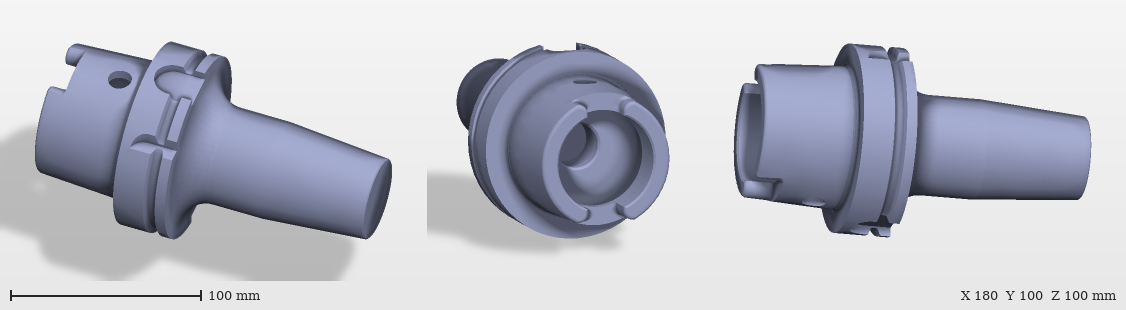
import cadquery as cq
import math


SHANK_LENGTH = 50.0
FLANGE_WIDTH = 29.0
NECK_START = 45.0
NOSE_END = 130.0

SHANK_MOUTH_RADIUS = 35.4
SHANK_ROOT_RADIUS = 38.05
SHANK_EDGE_ROUND = 1.8
RELIEF_START = -2.6
RELIEF_END = -1.0
RELIEF_DEPTH = 0.3
RELIEF_SLOPE = 0.5
ROOT_ROUND = 1.2
FLANGE_RECESS_DEPTH = 0.4

FLANGE_RADIUS = 50.0
GROOVE_CENTER = 20.1
GROOVE_HALF_WIDTH = 3.35
GROOVE_BOTTOM_RADIUS = 46.0
GROOVE_HALF_ANGLE = math.radians(23)
GROOVE_DEPTH = FLANGE_RADIUS - GROOVE_BOTTOM_RADIUS
GROOVE_FLOOR_HALF = GROOVE_HALF_WIDTH - GROOVE_DEPTH * math.tan(GROOVE_HALF_ANGLE)
GROOVE_ROUND = 1.2

NECK_RADIUS = 26.5
NECK_BLEND = NECK_START - FLANGE_WIDTH
NOSE_RADIUS = 22.0
NOSE_ANGLE = math.radians(4.5)
NOSE_CHAMFER = 0.6

MOUTH_BORE_RADIUS = 26.5
MOUTH_CHAMFER = 1.0
MOUTH_BORE_END = -30.4
CHAMBER_RADIUS = 31.5
CLAMP_CONE_ANGLE = math.radians(30)
BORE_FLOOR = -2.7
CHAMBER_FLOOR_ROUND = 7.0
CENTER_HOLE_RADIUS = 11.7
CENTER_HOLE_CHAMFER = 1.2
CENTER_HOLE_DEPTH = 20.0

SLOT_HALF_WIDTH = 10.0
SLOT_SHOULDER_HEIGHT = 31.7
SLOT_SHOULDER_ROUND = 5.0
SLOT_FLOOR_ROUND = 2.0
SLOT_MOUTH_ROUND = 2.0
UPPER_SLOT_DEPTH = 10.0
LOWER_SLOT_DEPTH = 15.0

CROSS_HOLE_X = -15.0
CROSS_HOLE_RADIUS = 6.3

KEYWAY_WIDTH = 20.0
KEYWAY_START = 4.9
KEYWAY_FLOOR = 44.0
NOTCH_WALL = 31.7
NOTCH_ROUND = 8.0
NOTCH_STRAIGHT_START = 13.1

CLEARANCE = 10.0
TOLERANCE = 0.01

ARC_MID = 1 - math.sqrt(0.5)


def outer_profile():
    """Half outline of the solid of revolution, from the shank mouth to the nose."""
    mouth_x = -SHANK_LENGTH
    taper = (SHANK_ROOT_RADIUS - SHANK_MOUTH_RADIUS) / SHANK_LENGTH
    taper_end_radius = SHANK_ROOT_RADIUS + taper * RELIEF_START
    relief_radius = taper_end_radius - RELIEF_DEPTH
    root_top_radius = SHANK_ROOT_RADIUS + ROOT_ROUND
    nose_length = (NECK_RADIUS - NOSE_RADIUS) / math.tan(NOSE_ANGLE)
    blend_mid = NECK_BLEND * ARC_MID
    root_mid = ROOT_ROUND * ARC_MID
    return (
        cq.Workplane("XY")
        .moveTo(mouth_x, 0)
        .lineTo(mouth_x, SHANK_MOUTH_RADIUS)
        .lineTo(RELIEF_START, taper_end_radius)
        .lineTo(RELIEF_START + RELIEF_SLOPE, relief_radius)
        .lineTo(RELIEF_END - RELIEF_SLOPE, relief_radius)
        .lineTo(RELIEF_END, SHANK_ROOT_RADIUS)
        .lineTo(FLANGE_RECESS_DEPTH - ROOT_ROUND, SHANK_ROOT_RADIUS)
        .threePointArc(
            (FLANGE_RECESS_DEPTH - root_mid, SHANK_ROOT_RADIUS + root_mid),
            (FLANGE_RECESS_DEPTH, root_top_radius),
        )
        .lineTo(0, root_top_radius)
        .lineTo(0, FLANGE_RADIUS)
        .lineTo(GROOVE_CENTER - GROOVE_HALF_WIDTH, FLANGE_RADIUS)
        .lineTo(GROOVE_CENTER - GROOVE_FLOOR_HALF, GROOVE_BOTTOM_RADIUS)
        .lineTo(GROOVE_CENTER + GROOVE_FLOOR_HALF, GROOVE_BOTTOM_RADIUS)
        .lineTo(GROOVE_CENTER + GROOVE_HALF_WIDTH, FLANGE_RADIUS)
        .lineTo(FLANGE_WIDTH, FLANGE_RADIUS)
        .lineTo(FLANGE_WIDTH, NECK_RADIUS + NECK_BLEND)
        .threePointArc((FLANGE_WIDTH + blend_mid, NECK_RADIUS + blend_mid), (NECK_START, NECK_RADIUS))
        .lineTo(NOSE_END - nose_length, NECK_RADIUS)
        .lineTo(NOSE_END, NOSE_RADIUS)
        .lineTo(NOSE_END, 0)
        .close()
    )


def circle_edges(body, x, radius):
    """Circular edges centred on the axis at position x with the given radius."""
    boxes = []
    for reach in (radius + TOLERANCE, radius - TOLERANCE):
        low = (x - TOLERANCE, -reach, -reach)
        high = (x + TOLERANCE, reach, reach)
        boxes.append(cq.selectors.BoxSelector(low, high, boundingbox=True))
    return body.edges(boxes[0] - boxes[1])


def turned_body():
    """Solid of revolution with its mouth, nose and gripper groove edges finished."""
    body = outer_profile().revolve(360, (0, 0, 0), (1, 0, 0))
    body = circle_edges(body, -SHANK_LENGTH, SHANK_MOUTH_RADIUS).fillet(SHANK_EDGE_ROUND)
    body = circle_edges(body, NOSE_END, NOSE_RADIUS).chamfer(NOSE_CHAMFER)
    for side in (-1, 1):
        x = GROOVE_CENTER + side * GROOVE_FLOOR_HALF
        body = circle_edges(body, x, GROOVE_BOTTOM_RADIUS).fillet(GROOVE_ROUND)
    return body


def clamping_bore():
    """Void of the bore: chamfered mouth, clamping chamber behind it and a central blind hole."""
    mouth_x = -SHANK_LENGTH
    clamp_cone_length = (CHAMBER_RADIUS - MOUTH_BORE_RADIUS) * math.tan(CLAMP_CONE_ANGLE)
    floor_mid = CHAMBER_FLOOR_ROUND * ARC_MID
    floor_round_start = BORE_FLOOR - CHAMBER_FLOOR_ROUND
    return (
        cq.Workplane("XY")
        .moveTo(mouth_x, 0)
        .lineTo(mouth_x, MOUTH_BORE_RADIUS + MOUTH_CHAMFER)
        .lineTo(mouth_x + MOUTH_CHAMFER, MOUTH_BORE_RADIUS)
        .lineTo(MOUTH_BORE_END, MOUTH_BORE_RADIUS)
        .lineTo(MOUTH_BORE_END + clamp_cone_length, CHAMBER_RADIUS)
        .lineTo(floor_round_start, CHAMBER_RADIUS)
        .threePointArc(
            (BORE_FLOOR - floor_mid, CHAMBER_RADIUS - floor_mid),
            (BORE_FLOOR, CHAMBER_RADIUS - CHAMBER_FLOOR_ROUND),
        )
        .lineTo(BORE_FLOOR, CENTER_HOLE_RADIUS + CENTER_HOLE_CHAMFER)
        .lineTo(BORE_FLOOR + CENTER_HOLE_CHAMFER, CENTER_HOLE_RADIUS)
        .lineTo(BORE_FLOOR + CENTER_HOLE_DEPTH, CENTER_HOLE_RADIUS)
        .lineTo(BORE_FLOOR + CENTER_HOLE_DEPTH, 0)
        .close()
        .revolve(360, (0, 0, 0), (1, 0, 0))
    )


def sharp_drive_slot(depth, side):
    """Drive slot void with a rounded floor and a sharp mouth; side is +1 (+Z) or -1 (-Z)."""
    outer = FLANGE_RADIUS
    round_mid = SLOT_SHOULDER_ROUND * ARC_MID
    arc_y = SLOT_HALF_WIDTH + SLOT_SHOULDER_ROUND
    arc_z = SLOT_SHOULDER_HEIGHT - SLOT_SHOULDER_ROUND
    mid_y = SLOT_HALF_WIDTH + round_mid
    mid_z = SLOT_SHOULDER_HEIGHT - round_mid
    cutter = (
        cq.Workplane("YZ", origin=(-SHANK_LENGTH - CLEARANCE, 0, 0))
        .moveTo(-SLOT_HALF_WIDTH, 0)
        .lineTo(-SLOT_HALF_WIDTH, side * arc_z)
        .threePointArc((-mid_y, side * mid_z), (-arc_y, side * SLOT_SHOULDER_HEIGHT))
        .lineTo(-outer, side * SLOT_SHOULDER_HEIGHT)
        .lineTo(-outer, side * outer)
        .lineTo(outer, side * outer)
        .lineTo(outer, side * SLOT_SHOULDER_HEIGHT)
        .lineTo(arc_y, side * SLOT_SHOULDER_HEIGHT)
        .threePointArc((mid_y, side * mid_z), (SLOT_HALF_WIDTH, side * arc_z))
        .lineTo(SLOT_HALF_WIDTH, 0)
        .close()
        .extrude(CLEARANCE + depth)
    )
    return cutter.faces(">X").edges().fillet(SLOT_FLOOR_ROUND)


def drive_slot(depth, side):
    """Drive slot void whose mouth edges flare out so that they round the lugs beside the slot."""
    reach = FLANGE_RADIUS
    mouth_x = -SHANK_LENGTH
    block = (
        cq.Workplane("XY", origin=(mouth_x, 0, side * reach / 2))
        .box(depth + CLEARANCE, 2 * reach, reach, centered=(False, True, True))
    )
    slot_mouth = cq.selectors.BoxSelector(
        (mouth_x - TOLERANCE, TOLERANCE - reach, side * TOLERANCE),
        (mouth_x + TOLERANCE, reach - TOLERANCE, side * reach),
    )
    lugs = block.cut(sharp_drive_slot(depth, side)).edges(slot_mouth).fillet(SLOT_MOUTH_ROUND)
    return block.cut(lugs)


def keyway(side):
    """Flat-bottomed keyway with a round end, open toward the neck."""
    half_width = KEYWAY_WIDTH / 2
    end_center_x = KEYWAY_START + half_width
    return (
        cq.Workplane("XY", origin=(0, 0, side * KEYWAY_FLOOR))
        .moveTo(FLANGE_WIDTH, half_width)
        .lineTo(end_center_x, half_width)
        .threePointArc((KEYWAY_START, 0), (end_center_x, -half_width))
        .lineTo(FLANGE_WIDTH, -half_width)
        .close()
        .extrude(side * (FLANGE_RADIUS - KEYWAY_FLOOR))
    )


def corner_notch():
    """Notch in the flange rim at the -Y +Z corner, with a rounded end toward the shank."""
    start = NOTCH_STRAIGHT_START - NOTCH_ROUND
    size = FLANGE_RADIUS - NOTCH_WALL
    return (
        cq.Workplane("XY", origin=(0, 0, NOTCH_WALL))
        .moveTo(FLANGE_WIDTH, -NOTCH_WALL)
        .lineTo(NOTCH_STRAIGHT_START, -NOTCH_WALL)
        .radiusArc((start, -NOTCH_WALL - NOTCH_ROUND), -NOTCH_ROUND)
        .lineTo(start, -NOTCH_WALL - size)
        .lineTo(FLANGE_WIDTH, -NOTCH_WALL - size)
        .close()
        .extrude(size)
    )


def cross_hole():
    return (
        cq.Workplane("XY", origin=(CROSS_HOLE_X, 0, -FLANGE_RADIUS))
        .circle(CROSS_HOLE_RADIUS)
        .extrude(2 * FLANGE_RADIUS)
    )


result = turned_body().cut(clamping_bore())
result = result.cut(cross_hole())
for slot_depth, slot_side in ((UPPER_SLOT_DEPTH, 1), (LOWER_SLOT_DEPTH, -1)):
    result = result.cut(drive_slot(slot_depth, slot_side))
    result = result.cut(keyway(slot_side))
result = result.cut(corner_notch())